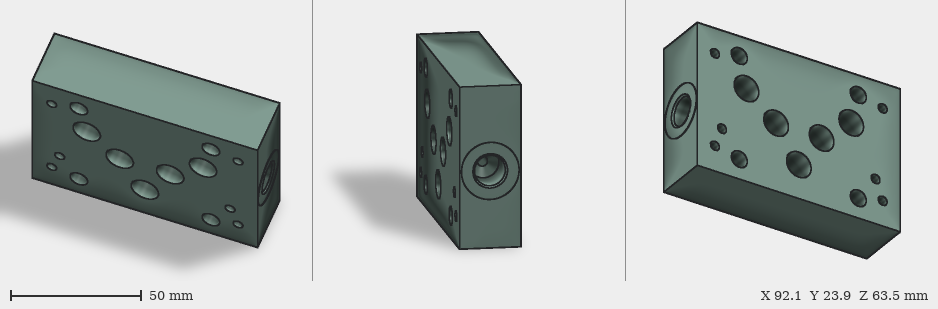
import cadquery as cq
import math

length = 92.1
thickness = 23.85
height = 63.5

flow_diameter = 11.1
upper_flow_x, upper_flow_z = 23.8, 9.5
middle_flow_x, middle_flow_z = 10.3, -1.6
lower_flow_z = -16.7

mounting_diameter = 7.2
mounting_x, mounting_z = 27.0, 22.9
small_diameter = 4.0
fixing_x, fixing_z = 38.0, 20.5
locating_x, locating_z = 34.8, -11.9

spotface_diameter = 22.4
spotface_depth = 0.2
port_diameter = 12.0
port_mouth_diameter = 13.4
port_depth = 14.7
passage_diameter = 4.0
drill_point_angle = 118.0


def cut_through(body, diameter, centers):
    """Drill round holes along Y at the given (x, z) centers."""
    drills = (
        cq.Workplane("XZ", origin=(0, thickness / 2, 0))
        .pushPoints(centers)
        .circle(diameter / 2)
        .extrude(thickness)
    )
    return body.cut(drills)


def mirrored(x, z):
    """Left and right hole centers at one level."""
    return [(-x, z), (x, z)]


def side_port():
    """Revolved cavity entering the -X end and reaching the left middle flow hole."""
    face_x = -length / 2
    floor_x = face_x + spotface_depth
    port_radius = port_diameter / 2
    mouth_radius = port_mouth_diameter / 2
    passage_radius = passage_diameter / 2
    cone_start_x = face_x + port_depth
    cone_slope = math.tan(math.radians(drill_point_angle / 2))
    cone_end_x = cone_start_x + (port_radius - passage_radius) / cone_slope
    profile = [
        (face_x, 0),
        (face_x, spotface_diameter / 2),
        (floor_x, spotface_diameter / 2),
        (floor_x, mouth_radius),
        (floor_x + mouth_radius - port_radius, port_radius),
        (cone_start_x, port_radius),
        (cone_end_x, passage_radius),
        (-middle_flow_x, passage_radius),
        (-middle_flow_x, 0),
    ]
    cavity = cq.Workplane("XY").polyline(profile).close().revolve(360, (0, 0, 0), (1, 0, 0))
    return cavity.translate((0, 0, middle_flow_z))


block = cq.Workplane("XY").box(length, thickness, height)

flow_centers = (
    mirrored(upper_flow_x, upper_flow_z)
    + mirrored(middle_flow_x, middle_flow_z)
    + [(0, lower_flow_z)]
)
block = cut_through(block, flow_diameter, flow_centers)

mounting_centers = mirrored(mounting_x, mounting_z) + mirrored(mounting_x, -mounting_z)
block = cut_through(block, mounting_diameter, mounting_centers)

small_centers = (
    mirrored(fixing_x, fixing_z)
    + mirrored(fixing_x, -fixing_z)
    + mirrored(locating_x, locating_z)
)
block = cut_through(block, small_diameter, small_centers)

left_port = side_port()
result = block.cut(left_port).cut(left_port.mirror("YZ"))